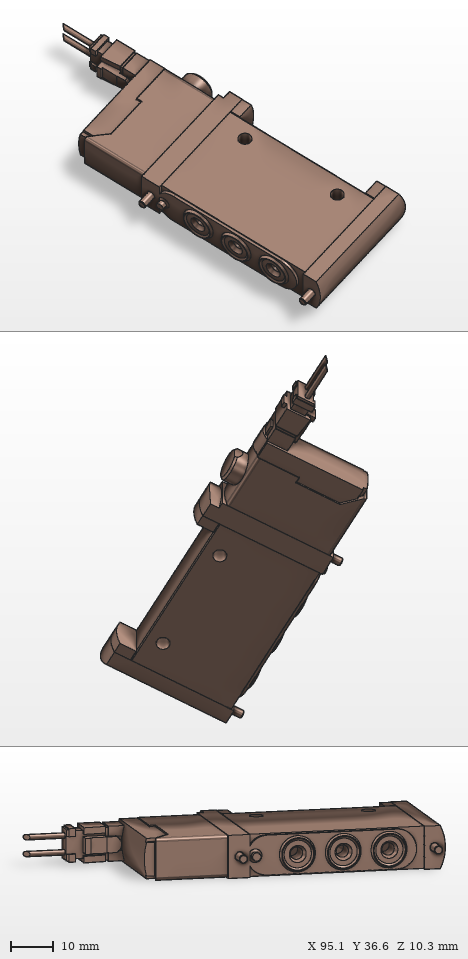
import cadquery as cq
import math


LENGTH = 95.05
BLOCK_THICK = 10.3
BODY_THICK = 10.1
COVER_THICK = 9.6
CROWN = 0.95
SIDE_CROWN = 1.2
BLOCK_TOP = 33.0

LEFT_BLOCK_X = (42.8, 48.0)
LEFT_CROWN_X = 43.1
LEFT_SHOULDER_Y = 29.75
RIGHT_BLOCK_X = (90.0, LENGTH)
BODY_Y = (0.8, 27.7)
TAB_LENGTH = 2.7
BODY_EDGE = 0.3
MOUNT_HOLE_D = 3.2
MOUNT_HOLE_X = (55.4, 82.4)
MOUNT_HOLE_Y = 23.3

SEAL_RADIUS = 4.8
SEAL_CENTRE_X = (52.1, 83.4)
PORT_MID_X = 70.4
PORT_PITCH = 11.0
RIM_HEIGHT = 0.7
RIM_BASE_D = 8.65
RIM_OUTER_D = 7.9
RIM_INNER_D = 7.5
RIM_FLOOR_D = 6.6
RIM_FLOOR_DEPTH = 0.4
PORT_MOUTH_D = 4.1
PORT_D = 2.9
PORT_MOUTH_DEPTH = 1.1
PORT_DEPTH = 5.7

PEG_X = 49.2
PEG_D = 2.0
PEG_BASE_D = 3.2
PEG_TIP_Y = -1.5
PEG_CONE_Y = -0.3

SCREW_X = (45.5, 92.5)
SCREW_D = 2.0
SCREW_TIP_D = 1.7
SCREW_TIP_CHAMFER = 0.2
SCREW_TIP_Y = -3.6
SCREW_END_Y = 9.5
SCREW_RELIEF_D = 2.2
SCREW_RELIEF_DEPTH = 0.5

COIL_Y = (0.8, 28.6)
COIL_EDGE_RADIUS = 0.8
COIL_FOOT_X = 25.6
COIL_FOOT_TOP = 1.5
COIL_PAD_Y = 29.2
COIL_PAD_WIDTH = 8.2
BUTTON_X = 35.4
BUTTON_D = 8.1
BUTTON_TOP_D = 7.0
BUTTON_TOP_Y = 32.4
BUTTON_CHAMFER = 0.6
BUTTON_BEVEL_Y = 30.7
BUTTON_BEVEL_RUN = 0.9
BUTTON_BEVEL_WIDTH = 3.9

SEAM_X = 28.1
SEAM_STEP_Y = 17.5
SEAM_SLOPE_TOP = 5.8
SEAM_GAP = 0.2
STEP_X = 29.7
COVER_X = 23.0
COVER_CROWN = 0.8
COVER_Y = (1.8, 28.5)
COVER_STEP_Y = 2.8
COVER_STEP_WIDTH = 8.0
COVER_BUMP_X = 23.5
COVER_BUMP_WIDTH = 7.6
COVER_BUMP_HEIGHT = 1.2

SOCKET_X = 19.8
SOCKET_Y = (23.1, 28.5)
SOCKET_WIDTH = 8.4
SOCKET_RECESS_X = 20.9
SOCKET_RECESS_WIDTH = 3.4
SOCKET_RECESS_DEPTH = 0.3
SOCKET_BUMP_X = 20.9
SOCKET_BUMP_Y = 29.1
SOCKET_BUMP_WIDTH = 3.4

PLUG_X = (13.8, 19.1)
PLUG_TOP = 28.8
PLUG_BOTTOM = (22.5, 23.1)
PLUG_WIDTH = 8.4
GUIDE_GAP_WIDTH = 5.2
NOSE_WIDTH = 7.8
NOSE_Y = (23.3, 28.4)
LATCH_WIDTH = 3.8
LATCH_Y = (21.7, 22.8)
LATCH_TIP_X = 22.6
LATCH_TIP_CROWN = 1.1
LATCH_ARM_RELIEF = 0.1
LIP_LENGTH = 1.2
LIP_Y = (21.1, 29.6)
LIP_WIDTH = 3.8
NECK_Y = (23.9, 27.8)
NECK_WIDTH = 6.7
FLANGE_X = (9.8, 10.4, 11.9)
FLANGE_WIDTH = 7.4
FLANGE_Y = (23.5, 28.0)
LUG_Y = (23.2, 28.3)
LUG_WIDTH = 8.0
LUG_GAP = 4.2
WIRE_D = 1.3
WIRE_SPACING = 4.0
WIRE_Y = 25.6


def box(x_range, y_range, width):
    """Block centred on the mid plane, `width` thick along Z."""
    x0, x1 = x_range
    y0, y1 = y_range
    corner = cq.Workplane("XY", origin=(x0, y0, 0))
    return corner.box(x1 - x0, y1 - y0, width, centered=(False, False, True))


def prism(points, width):
    """Outline in the XY plane, extruded evenly about the mid plane."""
    return cq.Workplane("XY").polyline(points).close().extrude(width / 2, both=True)


def turned(x, profile):
    """Solid turned about an axis along Y at x, from (radius, y) points."""
    outline = cq.Workplane("XY").polyline(profile).close()
    return outline.revolve(360, (0, 0, 0), (0, 1, 0)).translate((x, 0, 0))


def crowned_rear(x_range, y_range, width, crown):
    """Block whose +Y face bulges by `crown` across its thickness."""
    x0, x1 = x_range
    y0, y1 = y_range
    half = width / 2
    return (
        cq.Workplane("YZ", origin=(x0, 0, 0))
        .moveTo(y0, -half)
        .lineTo(y1 - crown, -half)
        .threePointArc((y1, 0), (y1 - crown, half))
        .lineTo(y0, half)
        .close()
        .extrude(x1 - x0)
    )


def crowned_side(flat_x, crown_x, y_range, width, crown):
    """Block whose face at crown_x bulges by `crown`, away from flat_x."""
    y0, y1 = y_range
    half = width / 2
    edge_x = crown_x - math.copysign(crown, crown_x - flat_x)
    return (
        cq.Workplane("XZ", origin=(0, y1, 0))
        .moveTo(flat_x, -half)
        .lineTo(edge_x, -half)
        .threePointArc((crown_x, 0), (edge_x, half))
        .lineTo(flat_x, half)
        .close()
        .extrude(y1 - y0)
    )


def make_left_block():
    rear = crowned_rear(LEFT_BLOCK_X, (0, BLOCK_TOP), BLOCK_THICK, CROWN)
    lower = box(LEFT_BLOCK_X, (0, LEFT_SHOULDER_Y), BLOCK_THICK)
    upper = crowned_side(
        LEFT_BLOCK_X[1], LEFT_CROWN_X, (LEFT_SHOULDER_Y, BLOCK_TOP), BLOCK_THICK, SIDE_CROWN
    )
    return rear.intersect(lower.union(upper))


def make_right_block():
    rear = crowned_rear(RIGHT_BLOCK_X, (0, BLOCK_TOP), BLOCK_THICK, CROWN)
    side = crowned_side(RIGHT_BLOCK_X[0], RIGHT_BLOCK_X[1], (0, BLOCK_TOP), BLOCK_THICK, SIDE_CROWN)
    return rear.intersect(side)


def make_body():
    x0 = LEFT_BLOCK_X[1]
    x1 = RIGHT_BLOCK_X[0]
    body = box((x0, x1), BODY_Y, BODY_THICK).faces(">Y").edges("|X").chamfer(BODY_EDGE)
    for tab_x in ((x0, x0 + TAB_LENGTH), (x1 - TAB_LENGTH, x1)):
        body = body.union(crowned_rear(tab_x, (BODY_Y[1], BLOCK_TOP), BODY_THICK, CROWN))
    return body


def make_seal():
    seal = box(SEAL_CENTRE_X, (0, BODY_Y[0]), 2 * SEAL_RADIUS)
    for x in SEAL_CENTRE_X:
        seal = seal.union(turned(x, [(0, 0), (SEAL_RADIUS, 0), (SEAL_RADIUS, BODY_Y[0]), (0, BODY_Y[0])]))
    return seal


def make_port_rim(x):
    return turned(x, [
        (0, 0),
        (RIM_BASE_D / 2, 0),
        (RIM_OUTER_D / 2, -RIM_HEIGHT),
        (RIM_INNER_D / 2, -RIM_HEIGHT),
        (RIM_FLOOR_D / 2, -RIM_HEIGHT + RIM_FLOOR_DEPTH),
        (0, -RIM_HEIGHT + RIM_FLOOR_DEPTH),
    ])


def make_port_hole(x, point_depth):
    """Port bore with a tapered mouth; point_depth is the length of its drill point."""
    floor_y = -RIM_HEIGHT + RIM_FLOOR_DEPTH
    profile = [
        (0, floor_y),
        (PORT_MOUTH_D / 2, floor_y),
        (PORT_D / 2, floor_y + PORT_MOUTH_DEPTH),
        (PORT_D / 2, PORT_DEPTH),
    ]
    return turned(x, profile + [(0, PORT_DEPTH + point_depth)])


def make_peg():
    """Peg with a flared base, trimmed by the side of the left block."""
    peg = turned(PEG_X, [
        (0, BODY_Y[0]),
        (PEG_BASE_D / 2, BODY_Y[0]),
        (PEG_BASE_D / 2, 0),
        (PEG_D / 2, PEG_CONE_Y),
        (PEG_D / 2, PEG_TIP_Y),
        (0, PEG_TIP_Y),
    ])
    return peg.intersect(box((LEFT_BLOCK_X[1], PEG_X + PEG_BASE_D), (PEG_TIP_Y, BODY_Y[0]), BODY_THICK))


def make_screw_hole(x):
    return turned(x, [
        (0, 0),
        (SCREW_RELIEF_D / 2, 0),
        (SCREW_RELIEF_D / 2, SCREW_RELIEF_DEPTH),
        (SCREW_D / 2, SCREW_RELIEF_DEPTH),
        (SCREW_D / 2, SCREW_END_Y),
        (0, SCREW_END_Y),
    ])


def make_valve():
    valve = make_body().union(make_seal()).union(make_left_block()).union(make_right_block())
    for step in (-1, 0, 1):
        port_x = PORT_MID_X + step * PORT_PITCH
        point_depth = PORT_D / 2 if step == 0 else 0
        valve = valve.union(make_port_rim(port_x)).cut(make_port_hole(port_x, point_depth))
    valve = valve.union(make_peg())
    for x in MOUNT_HOLE_X:
        hole = cq.Workplane("XY").center(x, MOUNT_HOLE_Y).circle(MOUNT_HOLE_D / 2)
        valve = valve.cut(hole.extrude(BODY_THICK, both=True))
    for x in SCREW_X:
        valve = valve.cut(make_screw_hole(x))
    return valve


def make_screw(x):
    return turned(x, [
        (0, SCREW_END_Y),
        (SCREW_D / 2, SCREW_END_Y),
        (SCREW_D / 2, SCREW_TIP_Y + SCREW_TIP_CHAMFER),
        (SCREW_TIP_D / 2, SCREW_TIP_Y),
        (0, SCREW_TIP_Y),
    ])


def make_coil():
    x1 = LEFT_BLOCK_X[0]
    y0, y1 = COIL_Y
    slab = box((COIL_FOOT_X, x1), COIL_Y, BODY_THICK).edges("|X").fillet(COIL_EDGE_RADIUS)
    foot_slope_end = COIL_FOOT_TOP + STEP_X - COIL_FOOT_X
    outline = prism([
        (COIL_FOOT_X, y0), (COIL_FOOT_X, COIL_FOOT_TOP), (STEP_X, foot_slope_end),
        (STEP_X, SEAM_STEP_Y), (SEAM_X, SEAM_STEP_Y), (SEAM_X, y1), (x1, y1), (x1, y0),
    ], BODY_THICK)
    pad_crown = COIL_PAD_Y - y1
    pad = crowned_rear((SEAM_X, x1), (y1 - pad_crown, COIL_PAD_Y), COIL_PAD_WIDTH, pad_crown)
    button = turned(BUTTON_X, [
        (0, y1),
        (BUTTON_D / 2, y1),
        (BUTTON_D / 2, BUTTON_TOP_Y - BUTTON_CHAMFER),
        (BUTTON_TOP_D / 2, BUTTON_TOP_Y),
        (0, BUTTON_TOP_Y),
    ])
    bevel_x = BUTTON_X - BUTTON_D / 2
    bevel = prism(
        [(bevel_x, BUTTON_BEVEL_Y), (bevel_x + BUTTON_BEVEL_RUN, BUTTON_TOP_Y), (bevel_x, BUTTON_TOP_Y)],
        BUTTON_BEVEL_WIDTH,
    )
    return slab.intersect(outline).union(pad).union(button.cut(bevel))


def make_cover():
    y0, y1 = COVER_Y
    side_x = STEP_X - SEAM_GAP
    slope_bottom_x = side_x - (SEAM_SLOPE_TOP - y0)
    outline = prism([
        (COVER_X, y0), (slope_bottom_x, y0), (side_x, SEAM_SLOPE_TOP),
        (side_x, SEAM_STEP_Y - SEAM_GAP), (SEAM_X, SEAM_STEP_Y - SEAM_GAP), (SEAM_X, y1), (COVER_X, y1),
    ], COVER_THICK)
    cover = outline.intersect(crowned_side(STEP_X, COVER_X, COVER_Y, COVER_THICK, COVER_CROWN))
    narrow_end = box((COVER_X, STEP_X), (y0, COVER_STEP_Y), COVER_STEP_WIDTH)
    cover = cover.cut(box((COVER_X, STEP_X), (y0, COVER_STEP_Y), COVER_THICK).cut(narrow_end))
    bump_y = (y1 - COVER_BUMP_HEIGHT, y1 + COVER_BUMP_HEIGHT)
    bump = crowned_rear((COVER_BUMP_X, SEAM_X), bump_y, COVER_BUMP_WIDTH, COVER_BUMP_HEIGHT)
    return cover.union(bump).union(make_socket())


def make_socket():
    x_range = (SOCKET_X, COVER_X + COVER_CROWN)
    socket = box(x_range, SOCKET_Y, SOCKET_WIDTH)
    recess_y = (SOCKET_Y[0], SOCKET_Y[0] + SOCKET_RECESS_DEPTH)
    socket = socket.cut(box((SOCKET_RECESS_X, COVER_X), recess_y, SOCKET_RECESS_WIDTH))
    bump = box((SOCKET_BUMP_X, x_range[1]), (SOCKET_Y[1], SOCKET_BUMP_Y), SOCKET_BUMP_WIDTH)
    return socket.union(bump)


def make_plug_block():
    x0, x1 = PLUG_X
    block = prism([(x0, PLUG_BOTTOM[0]), (x1, PLUG_BOTTOM[1]), (x1, PLUG_TOP), (x0, PLUG_TOP)], PLUG_WIDTH)
    block = block.cut(box(PLUG_X, (LATCH_Y[0], NECK_Y[0]), GUIDE_GAP_WIDTH))
    nose = box((x1, SOCKET_X), NOSE_Y, NOSE_WIDTH)
    lip = box((x0, x0 + LIP_LENGTH), (PLUG_TOP, LIP_Y[1]), LIP_WIDTH)
    return block.union(nose).union(lip)


def make_latch():
    x0 = PLUG_X[0]
    root = box(PLUG_X, (LATCH_Y[0], NECK_Y[0]), LATCH_WIDTH)
    arm_y = (LATCH_Y[0] + LATCH_ARM_RELIEF, LATCH_Y[1])
    arm = crowned_side(x0, LATCH_TIP_X, arm_y, LATCH_WIDTH, LATCH_TIP_CROWN)
    lip = box((x0, x0 + LIP_LENGTH), (LIP_Y[0], LATCH_Y[0]), LATCH_WIDTH)
    return root.union(arm).union(lip)


def make_flange():
    x0, x1, x2 = FLANGE_X
    flange = box((x0, x2), FLANGE_Y, FLANGE_WIDTH).cut(box((x0, x2), (FLANGE_Y[0], NECK_Y[0]), LUG_GAP))
    lugs = box((x1, x2), LUG_Y, LUG_WIDTH).cut(box((x1, x2), LUG_Y, LUG_GAP))
    neck = box((x2, PLUG_X[0]), NECK_Y, NECK_WIDTH)
    return flange.union(lugs).union(neck)


def make_wire(z):
    """Wire along X with its tip cut at 45 degrees."""
    radius = WIRE_D / 2
    end_x = FLANGE_X[0]
    wire = cq.Workplane("YZ").center(WIRE_Y, z).circle(radius).extrude(end_x)
    side = prism([
        (0, WIRE_Y + radius), (WIRE_D, WIRE_Y - radius), (end_x, WIRE_Y - radius), (end_x, WIRE_Y + radius),
    ], BLOCK_THICK)
    return wire.intersect(side)


def make_connector():
    connector = make_plug_block().union(make_latch()).union(make_flange())
    for z in (-WIRE_SPACING / 2, WIRE_SPACING / 2):
        connector = connector.union(make_wire(z))
    return connector


valve = make_valve()
coil = make_coil()
cover = make_cover()
connector = make_connector()
screws = [make_screw(x) for x in SCREW_X]

result = cq.Compound.makeCompound(
    [valve.val(), coil.val(), cover.val(), connector.val(), *[screw.val() for screw in screws]]
)